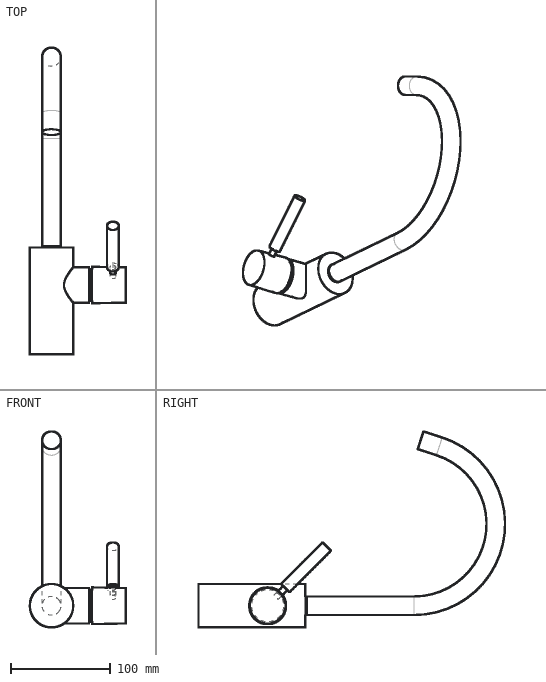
import cadquery as cq
import math

HOUSING_RADIUS = 22.0
HOUSING_LENGTH = 108.0
BRANCH_RADIUS = 18.0
BRANCH_Y = 70.0
BRANCH_END_X = 38.0

SPOUT_NECK_RADIUS = 9.5
SPOUT_NECK_LENGTH = 0.8
KNOB_NECK_RADIUS = 16.2
KNOB_NECK_LENGTH = 2.1

SPOUT_RING_THICKNESS = 0.8
KNOB_RING_THICKNESS = 0.9

SPOUT_RADIUS = 9.5
SPOUT_BEND_START_Y = 217.95
SPOUT_BEND_RADIUS = 82.5
SPOUT_TIP_SLOPE = 18.0
SPOUT_TIP_LENGTH = 20.0

KNOB_START_RADIUS = 18.7
KNOB_END_RADIUS = 18.0
KNOB_END_X = 75.02

LEVER_X = 62.0
LEVER_TILT = 45.0
LEVER_RADIUS = 6.0
LEVER_START = 25.3
LEVER_LENGTH = 59.3
PIN_RADIUS = 3.0
PIN_DEPTH_START = 12.0

SPOUT_RING_Y = HOUSING_LENGTH + SPOUT_NECK_LENGTH
SPOUT_START_Y = SPOUT_RING_Y + SPOUT_RING_THICKNESS
KNOB_RING_X = BRANCH_END_X + KNOB_NECK_LENGTH
KNOB_START_X = KNOB_RING_X + KNOB_RING_THICKNESS


def rod(start, direction, radius, length):
    """A solid round rod from a start point along a direction."""
    solid = cq.Solid.makeCylinder(radius, length, cq.Vector(*start), cq.Vector(*direction))
    return cq.Workplane("XY").newObject([solid])


def along_y(start_y, radius, length):
    return rod((0, start_y, 0), (0, 1, 0), radius, length)


def along_x(start_x, radius, length):
    return rod((start_x, BRANCH_Y, 0), (1, 0, 0), radius, length)


def along_lever(start, radius, length):
    """A rod on the tilted lever axis, starting at a distance from the branch axis."""
    tilt = math.radians(LEVER_TILT)
    direction = (0, math.cos(tilt), math.sin(tilt))
    start_point = (LEVER_X, BRANCH_Y + start * direction[1], start * direction[2])
    return rod(start_point, direction, radius, length)


def make_housing():
    barrel = along_y(0, HOUSING_RADIUS, HOUSING_LENGTH)
    branch = along_x(0, BRANCH_RADIUS, BRANCH_END_X)
    spout_neck = along_y(HOUSING_LENGTH, SPOUT_NECK_RADIUS, SPOUT_NECK_LENGTH)
    knob_neck = along_x(BRANCH_END_X, KNOB_NECK_RADIUS, KNOB_NECK_LENGTH)
    return barrel.union(branch).union(spout_neck).union(knob_neck)


def make_knob(pin):
    """A tapered round knob with a hole that the pin fills."""
    start = cq.Vector(KNOB_START_X, BRANCH_Y, 0)
    length = KNOB_END_X - KNOB_START_X
    cone = cq.Solid.makeCone(KNOB_START_RADIUS, KNOB_END_RADIUS, length, start, cq.Vector(1, 0, 0))
    return cq.Workplane("XY").newObject([cone]).cut(pin)


def make_spout():
    slope = math.radians(SPOUT_TIP_SLOPE)

    def bend_point(angle):
        return (
            SPOUT_BEND_START_Y + SPOUT_BEND_RADIUS * math.sin(angle),
            SPOUT_BEND_RADIUS * (1 - math.cos(angle)),
        )

    bend_angle = math.pi - slope
    bend_end = bend_point(bend_angle)
    tip_end = (
        bend_end[0] - SPOUT_TIP_LENGTH * math.cos(slope),
        bend_end[1] + SPOUT_TIP_LENGTH * math.sin(slope),
    )
    path = (
        cq.Workplane("YZ")
        .moveTo(SPOUT_START_Y, 0)
        .lineTo(SPOUT_BEND_START_Y, 0)
        .threePointArc(bend_point(bend_angle / 2), bend_end)
        .lineTo(*tip_end)
    )
    return cq.Workplane("XZ", origin=(0, SPOUT_START_Y, 0)).circle(SPOUT_RADIUS).sweep(path)


housing = make_housing()
spout_ring = along_y(SPOUT_RING_Y, SPOUT_NECK_RADIUS, SPOUT_RING_THICKNESS)
spout = make_spout()

knob_ring = along_x(KNOB_RING_X, KNOB_NECK_RADIUS, KNOB_RING_THICKNESS)
pin = along_lever(PIN_DEPTH_START, PIN_RADIUS, LEVER_START - PIN_DEPTH_START)
knob = make_knob(pin)
lever = along_lever(LEVER_START, LEVER_RADIUS, LEVER_LENGTH)

result = cq.Compound.makeCompound(
    [
        housing.val(),
        spout_ring.val(),
        spout.val(),
        knob_ring.val(),
        knob.val(),
        pin.val(),
        lever.val(),
    ]
)